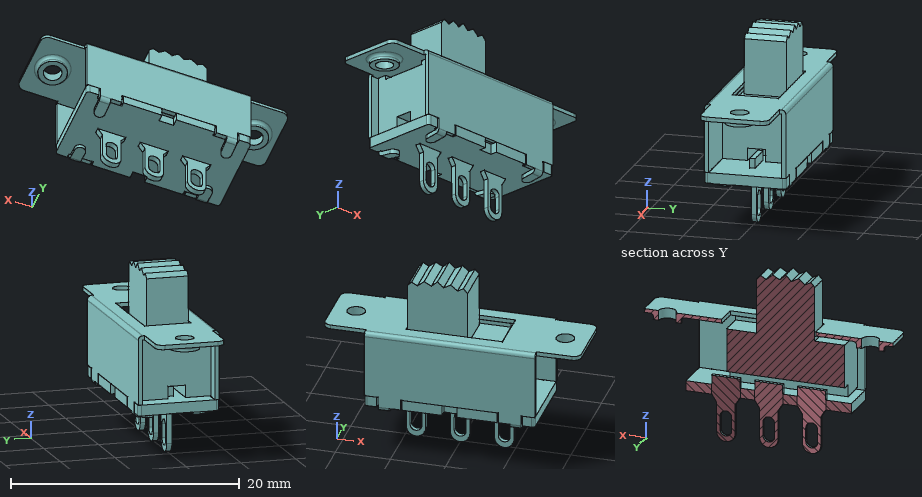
import cadquery as cq
import math


frame_length = 23.3
frame_width = 7.4
frame_top = 7.22
sheet = 0.4
ear_width = 6.25
ear_corner_radius = 0.7
body_length = 15.5
window_length = 8.75
window_width = 4.22
mount_spacing = 19.0
mount_hole_diameter = 1.6
boss_diameter = 2.6
boss_depth = 0.55
boss_fillet = 0.3

tab_inner_x = 4.45
tab_outer_x = 6.48
hook_width = 1.0
hook_reach = 1.89
hook_angle = 7.0

base_height = 0.98
base_corner_radius = 0.28
tab_clearance = 0.15
notch_width = 1.35
notch_depth = 0.65

terminal_pitch = 4.0
terminal_thickness = 0.5
terminal_top = 1.85
terminal_bottom = -4.29
terminal_root_width = 2.65
terminal_leg_width = 1.77
terminal_taper_height = 0.68
eye_width = 1.05
eye_top = -1.4
eye_bottom = -3.7

slider_center_x = -1.58
slider_length = 11.05
slider_width = 6.25
slider_bottom = 1.2
slider_top = 6.75
groove_width = 4.43
groove_depth = 0.37
channel_width = 1.63
channel_top = 2.33
knob_length = 5.48
knob_width = 3.82

knob_crest_z = 12.2
valley_1_x, valley_1_z = 0.55, 11.7
ridge_2_x, ridge_2_z = 1.2, 12.07
valley_2_x, valley_2_z = 1.82, 11.55
ridge_3_x, ridge_3_z = 2.35, 11.85
knob_shoulder_z = 11.45

plate_underside = frame_top - sheet
wall_outer_y = frame_width / 2
wall_inner_y = wall_outer_y - sheet
mount_xs = [-mount_spacing / 2, mount_spacing / 2]
terminal_xs = [-terminal_pitch, 0, terminal_pitch]


def box(x_range, y_range, z_range):
    """Axis-aligned box between the given pairs of limits."""
    sizes = [high - low for low, high in (x_range, y_range, z_range)]
    corner = (x_range[0], y_range[0], z_range[0])
    return cq.Workplane("XY").box(*sizes, centered=False).translate(corner)


def centred_box(length, width, z_range):
    """Box centred on X and Y between two heights."""
    return box((-length / 2, length / 2), (-width / 2, width / 2), z_range)


def frame_shell():
    """Folded U section: a top plate with a side wall along each long edge."""
    outer = centred_box(body_length, frame_width, (base_height, frame_top)).edges("|X and >Z").fillet(sheet)
    return outer.cut(centred_box(body_length, 2 * wall_inner_y, (base_height, plate_underside)))


def frame_ears():
    """Top plate that reaches past the walls at both ends."""
    plate = centred_box(frame_length, ear_width, (plate_underside, frame_top))
    return plate.edges("|Z").fillet(ear_corner_radius)


def mount_boss(x):
    """Round collar under an ear, flaring out where it meets the sheet."""
    boss_radius = boss_diameter / 2
    flare_bottom = plate_underside - boss_fillet
    arc_offset = boss_fillet * (1 - math.sqrt(0.5))
    return (
        cq.Workplane("XZ")
        .moveTo(0, plate_underside)
        .lineTo(boss_radius + boss_fillet, plate_underside)
        .threePointArc(
            (boss_radius + arc_offset, plate_underside - arc_offset),
            (boss_radius, flare_bottom),
        )
        .lineTo(boss_radius, plate_underside - boss_depth)
        .lineTo(0, plate_underside - boss_depth)
        .close()
        .revolve(360, (0, 0, 0), (0, 1, 0))
        .translate((x, 0, 0))
    )


def tab_hook():
    """Hook under the base on the -Y side at the +X end, with a round tip."""
    angle = math.radians(hook_angle)
    tip_y = -wall_outer_y + hook_reach
    tip_z = -(tip_y + wall_inner_y) * math.tan(angle)
    bend_end_y = -wall_inner_y - sheet * math.sin(angle)
    bend_end_z = -sheet * math.cos(angle)
    bend_middle = math.radians((90 - hook_angle) / 2)
    section = (
        cq.Workplane("YZ")
        .moveTo(-wall_outer_y, 0)
        .threePointArc(
            (-wall_inner_y - sheet * math.cos(bend_middle), -sheet * math.sin(bend_middle)),
            (bend_end_y, bend_end_z),
        )
        .lineTo(tip_y, tip_z - sheet / math.cos(angle))
        .lineTo(tip_y, tip_z)
        .lineTo(-wall_inner_y, 0)
        .close()
        .extrude(hook_width)
        .translate((tab_outer_x - hook_width, 0, 0))
    )
    tip_radius = hook_width / 2
    round_center_y = tip_y - tip_radius
    hook_x = (tab_outer_x - hook_width, tab_outer_x)
    hook_z = (tip_z - 2 * sheet, 0)
    plan = box(hook_x, (-wall_outer_y, round_center_y), hook_z).union(
        cq.Workplane("XY")
        .center(tab_outer_x - tip_radius, round_center_y)
        .circle(tip_radius)
        .extrude(hook_z[0])
    )
    return section.intersect(plan)


def frame_tabs():
    """Four wall tabs beside the base, each with its hook."""
    strip = box((tab_inner_x, tab_outer_x), (-wall_outer_y, -wall_inner_y), (0, base_height))
    tab = strip.union(tab_hook())
    pair = tab.union(tab.mirror("YZ"))
    return pair.union(pair.mirror("XZ"))


def make_frame():
    """Frame with its mounting bosses and holes, and the window for the knob."""
    frame = frame_shell().union(frame_ears()).union(frame_tabs())
    for x in mount_xs:
        frame = frame.union(mount_boss(x))
    holes = (
        cq.Workplane("XY", origin=(0, 0, frame_top))
        .pushPoints([(x, 0) for x in mount_xs])
        .circle(mount_hole_diameter / 2)
        .extrude(-(sheet + boss_depth))
    )
    window = centred_box(window_length, window_width, (plate_underside, frame_top))
    return frame.cut(holes).cut(window)


def make_terminal(x):
    """Flat terminal: blade in the base, tapered neck, and round-ended leg with an eye."""
    root = terminal_root_width / 2
    leg = terminal_leg_width / 2
    tip_center = terminal_bottom + leg
    outline = (
        cq.Workplane("XZ")
        .moveTo(-root, terminal_top)
        .lineTo(root, terminal_top)
        .lineTo(root, 0)
        .lineTo(leg, -terminal_taper_height)
        .lineTo(leg, tip_center)
        .threePointArc((0, terminal_bottom), (-leg, tip_center))
        .lineTo(-leg, -terminal_taper_height)
        .lineTo(-root, 0)
        .close()
        .extrude(terminal_thickness / 2, both=True)
    )
    eye = (
        cq.Workplane("XZ", origin=(0, 0, (eye_top + eye_bottom) / 2))
        .slot2D(eye_top - eye_bottom, eye_width, 90)
        .extrude(terminal_thickness, both=True)
    )
    return outline.cut(eye).translate((x, 0, 0))


def make_base(terminals):
    """Flat base with recesses for the tabs, a notch in each long side and terminal slots."""
    height = (0, base_height)
    base = centred_box(body_length, frame_width, height).edges("|Z").fillet(base_corner_radius)
    recess_x = (tab_inner_x - tab_clearance, tab_outer_x + tab_clearance)
    recess = box(recess_x, (-wall_outer_y, -wall_inner_y), height)
    notch_x = (-notch_width / 2, notch_width / 2)
    notch = box(notch_x, (-wall_outer_y, -wall_outer_y + notch_depth), height)
    for cutter in (recess, recess.mirror("YZ"), notch):
        base = base.cut(cutter).cut(cutter.mirror("XZ"))
    for terminal in terminals:
        base = base.cut(terminal)
    return base


def slider_block():
    """Sliding block with a groove along its top and a terminal channel along its underside."""
    block = centred_box(slider_length, slider_width, (slider_bottom, slider_top))
    groove = centred_box(slider_length, groove_width, (slider_top - groove_depth, slider_top))
    channel = centred_box(slider_length, channel_width, (slider_bottom, channel_top))
    return block.cut(groove).cut(channel)


def slider_knob():
    """Knob whose top carries five ridges, highest in the middle."""
    half_top = [
        (valley_1_x, valley_1_z),
        (ridge_2_x, ridge_2_z),
        (valley_2_x, valley_2_z),
        (ridge_3_x, ridge_3_z),
        (knob_length / 2, knob_shoulder_z),
        (knob_length / 2, slider_top - groove_depth),
    ]
    mirrored_top = [(-x, z) for x, z in reversed(half_top)]
    return (
        cq.Workplane("XZ")
        .polyline(mirrored_top + [(0, knob_crest_z)] + half_top)
        .close()
        .extrude(knob_width / 2, both=True)
    )


def make_slider():
    """Slider pushed towards the -X end of its travel."""
    return slider_block().union(slider_knob()).translate((slider_center_x, 0, 0))


frame = make_frame()
terminals = [make_terminal(x) for x in terminal_xs]
base = make_base(terminals)
slider = make_slider()

bodies = [frame, base, slider, *terminals]
result = cq.Compound.makeCompound([body.solids().val() for body in bodies])